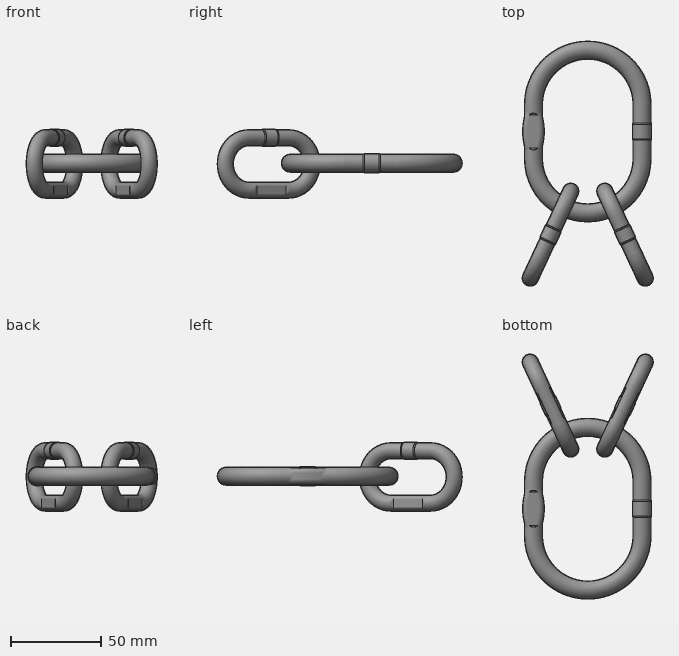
import cadquery as cq
import math

overall_length = 135.6

master_wire_dia = 10.0
master_inner_width = 50.0
master_straight = 30.0
master_weld_dia = 10.7
master_weld_length = 9.6

pad_thickness = 9.0
pad_mid_width = 12.1
pad_bulge_radius = 32.5
pad_corner_radius = 2.8
pad_blend_radius = 1.6
pad_length = 24.4
pad_floor_length = 18.5
pad_mouth_length = 20.3

sub_wire_dia = 9.0
sub_inner_width = 20.1
sub_straight = 24.0
sub_weld_dia = 9.6
sub_weld_length = 8.7
sub_splay_angle = 25.0
sub_centre_x = 20.6
sub_centre_z = -0.4

stamp_floor_length = 17.8
stamp_mouth_length = 20.3
stamp_floor_offset = 3.7
stamp_rim_radius = 1.1

weld_taper = 0.8

master_bar_x = (master_inner_width + master_wire_dia) / 2
master_half_length = master_straight / 2 + master_inner_width / 2 + master_wire_dia
sub_bar_z = (sub_inner_width + sub_wire_dia) / 2
sub_arc_middle = sub_straight / 2 + sub_bar_z
sub_half_reach = sub_arc_middle * math.cos(math.radians(sub_splay_angle)) + sub_wire_dia / 2
sub_centre_y = master_half_length - overall_length + sub_half_reach


def chain_link(wire_dia, bar_offset, straight):
    """Racetrack of round wire in the XY plane: bars along Y at x = +-bar_offset."""
    half = straight / 2
    path = (
        cq.Workplane("XY")
        .moveTo(bar_offset, 0)
        .lineTo(bar_offset, half)
        .threePointArc((0, half + bar_offset), (-bar_offset, half))
        .lineTo(-bar_offset, -half)
        .threePointArc((0, -half - bar_offset), (bar_offset, -half))
        .close()
    )
    return cq.Workplane("XZ", origin=(bar_offset, 0, 0)).circle(wire_dia / 2).sweep(path)


def weld_bead(bead_dia, wire_dia, length, bar_x):
    """Raised band with conical ends around the bar at x = bar_x."""
    half = length / 2
    profile = [
        (0, -half),
        (wire_dia / 2, -half),
        (bead_dia / 2, -half + weld_taper),
        (bead_dia / 2, half - weld_taper),
        (wire_dia / 2, half),
        (0, half),
    ]
    bead = cq.Workplane("XY").polyline(profile).close().revolve(360, (0, 0), (0, 1))
    return bead.translate((bar_x, 0, 0))


def recess_cutter(floor_length, mouth_length, floor_z, mouth_z, width):
    """Trough along Y with sloped ends, open towards +Z."""
    profile = [
        (-floor_length / 2, floor_z),
        (floor_length / 2, floor_z),
        (mouth_length / 2, mouth_z),
        (-mouth_length / 2, mouth_z),
    ]
    return cq.Workplane("YZ").polyline(profile).close().extrude(width / 2, both=True)


def bulged_pad():
    """Block along Y with bulging sides and rounded edges that sinks into the wire at its ends."""
    half = pad_length / 2
    sagitta = pad_bulge_radius - math.sqrt(pad_bulge_radius**2 - half**2)
    mid_x = pad_mid_width / 2
    end_x = mid_x - sagitta
    return (
        cq.Workplane("XY")
        .moveTo(end_x, -half)
        .threePointArc((mid_x, 0), (end_x, half))
        .lineTo(-end_x, half)
        .threePointArc((-mid_x, 0), (-end_x, -half))
        .close()
        .extrude(pad_thickness / 2, both=True)
        .edges("%CIRCLE")
        .fillet(pad_corner_radius)
    )


def make_master_link():
    link = chain_link(master_wire_dia, master_bar_x, master_straight)
    link = link.union(bulged_pad().translate((-master_bar_x, 0, 0)))

    link = link.edges("%BSPLINE").fillet(pad_blend_radius)
    link = link.union(weld_bead(master_weld_dia, master_wire_dia, master_weld_length, master_bar_x))

    cutter = recess_cutter(
        pad_floor_length, pad_mouth_length, pad_thickness / 2, master_wire_dia / 2, master_wire_dia
    ).translate((-master_bar_x, 0, 0))
    return link.cut(cutter).cut(cutter.mirror("XY")).solids()


def make_sub_link(side):
    """Sub-link on the given side (-1 or +1 along X), splayed outwards away from the master link."""
    link = chain_link(sub_wire_dia, sub_bar_z, sub_straight)
    link = link.union(weld_bead(sub_weld_dia, sub_wire_dia, sub_weld_length, sub_bar_z))

    cutter = recess_cutter(
        stamp_floor_length,
        stamp_mouth_length,
        stamp_floor_offset,
        sub_wire_dia / 2,
        sub_wire_dia,
    ).translate((-sub_bar_z, 0, 0))
    for face in (1, -1):
        link = link.cut(cutter if face > 0 else cutter.mirror("XY"))
        recess_zone = cq.selectors.BoxSelector(
            (-sub_bar_z - sub_wire_dia / 2, -sub_straight / 2, face * sub_wire_dia / 4),
            (-sub_bar_z + sub_wire_dia / 2, sub_straight / 2, face * sub_wire_dia / 2),
        )
        link = link.edges(recess_zone).edges("not |X").fillet(stamp_rim_radius)

    return (
        link.rotate((0, 0, 0), (0, 1, 0), -90)
        .rotate((0, 0, 0), (0, 0, 1), side * sub_splay_angle)
        .translate((side * sub_centre_x, sub_centre_y, sub_centre_z))
        .solids()
    )


master_link = make_master_link()
sub_links = [make_sub_link(side) for side in (-1, 1)]

result = cq.Compound.makeCompound([master_link.val(), *[link.val() for link in sub_links]])